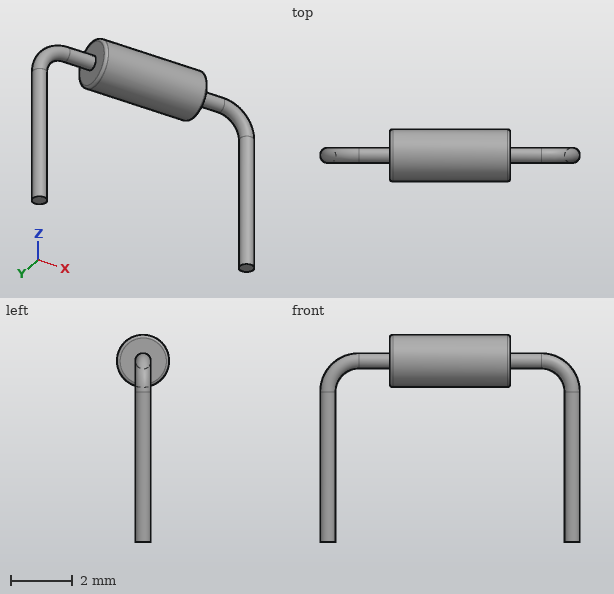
import cadquery as cq

overall_length = 8.4
overall_height = 6.7

body_diameter = 1.7
body_length = 3.91
body_edge_radius = 0.1

lead_diameter = 0.5
bend_radius = 1.0

lead_radius = lead_diameter / 2
lead_axis_x = overall_length / 2 - lead_radius
lead_bottom_z = body_diameter / 2 - overall_height
bend_start_x = lead_axis_x - bend_radius


def make_body():
    """Cylinder along X with rounded end edges."""
    return (
        cq.Workplane("YZ", origin=(-body_length / 2, 0, 0))
        .circle(body_diameter / 2)
        .extrude(body_length)
        .faces("<X or >X")
        .edges()
        .fillet(body_edge_radius)
    )


def make_lead(side):
    """Wire from the body centre, bent down at the end; side is +1 or -1 along X."""
    straight = cq.Workplane("YZ").circle(lead_radius).extrude(side * bend_start_x)
    bend_path = (
        cq.Workplane("XZ")
        .moveTo(side * bend_start_x, 0)
        .radiusArc((side * lead_axis_x, -bend_radius), side * bend_radius)
    )
    bend = (
        cq.Workplane("YZ", origin=(side * bend_start_x, 0, 0))
        .circle(lead_radius)
        .sweep(bend_path)
    )
    leg = (
        cq.Workplane("XY", origin=(side * lead_axis_x, 0, lead_bottom_z))
        .circle(lead_radius)
        .extrude(-bend_radius - lead_bottom_z)
    )
    return straight.union(bend).union(leg)


result = make_body()
for side in (-1, 1):
    result = result.union(make_lead(side))